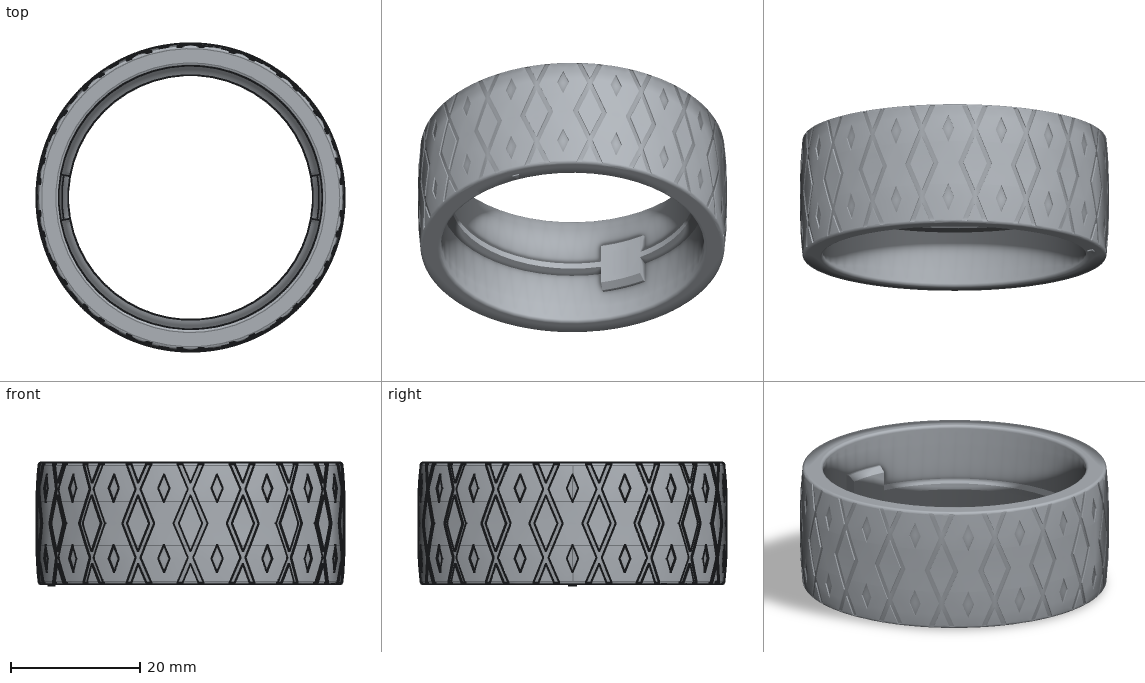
import cadquery as cq
import math

outer_radius = 23.85
body_height = 18.85
half_height = body_height / 2
edge_round = 0.5
straight_half_height = 3.4
curve_half_height = half_height - edge_round
rim_radius = 23.55
bore_radius = 20.4

rib_radius = 18.9
rib_crest_half_height = 0.5
rib_root_half_height = 0.8

key_half_angle = 10.0
key_half_height = 4.2
key_shoulder_radius = 19.9
key_crest_half_height = 3.4

pattern_count = 18
pattern_pitch = 360 / pattern_count
groove_depth = 0.25
groove_half_height = 9.15
crossing_height = 5.3
groove_slope = 0.42
groove_half_width = 0.405
diamond_height = 5.45
diamond_half_height = 2.15
diamond_half_width = groove_slope * diamond_half_height

marker_base_x = -22.0
marker_side = 1.15
marker_height = 0.2

overlap = 0.25


def revolve(profile, degrees):
    """Revolve a closed XZ profile about the Z axis, from +X towards +Y."""
    return profile.close().revolve(degrees, (0, 0, 0), (0, 1, 0))


def turn(shape, degrees):
    return shape.rotate((0, 0, 0), (0, 0, 1), degrees)


def add_barrel_side(profile, inset):
    """Draw on from the lower rim to the upper one: a straight band between two tangent arcs."""
    middle = outer_radius - inset
    rim = rim_radius - inset
    rise = curve_half_height - straight_half_height
    arc_radius = (rise**2 + (middle - rim) ** 2) / (2 * (middle - rim))
    return (
        profile
        .radiusArc((middle, -straight_half_height), -arc_radius)
        .lineTo(middle, straight_half_height)
        .radiusArc((rim, curve_half_height), -arc_radius)
    )


def half_ring():
    """Half of the plain ring, with the rib and the matching halves of both keys."""
    profile = (
        cq.Workplane("XZ")
        .moveTo(bore_radius, -curve_half_height)
        .radiusArc((bore_radius + edge_round, -half_height), -edge_round)
        .lineTo(rim_radius - edge_round, -half_height)
        .radiusArc((rim_radius, -curve_half_height), -edge_round)
    )
    profile = (
        add_barrel_side(profile, 0)
        .radiusArc((rim_radius - edge_round, half_height), -edge_round)
        .lineTo(bore_radius + edge_round, half_height)
        .radiusArc((bore_radius, curve_half_height), -edge_round)
        .lineTo(bore_radius, rib_root_half_height)
        .lineTo(rib_radius, rib_crest_half_height)
        .lineTo(rib_radius, -rib_crest_half_height)
        .lineTo(bore_radius, -rib_root_half_height)
    )
    ring = revolve(profile, 180)
    return ring.union(half_key()).union(turn(half_key(), 180 - key_half_angle))


def half_key():
    root_radius = bore_radius + overlap
    profile = cq.Workplane("XZ").polyline(
        [
            (root_radius, -key_half_height),
            (key_shoulder_radius, -key_half_height),
            (rib_radius, -key_crest_half_height),
            (rib_radius, key_crest_half_height),
            (key_shoulder_radius, key_half_height),
            (root_radius, key_half_height),
        ]
    )
    return revolve(profile, key_half_angle)


def zigzag_outline(side):
    """Groove that is widest from the pattern axis at mid height and crosses it twice."""
    crest = groove_slope * crossing_height
    end = groove_slope * (crossing_height - groove_half_height)
    return [
        (side * (end + groove_half_width), -groove_half_height),
        (side * (crest + groove_half_width), 0),
        (side * (end + groove_half_width), groove_half_height),
        (side * (end - groove_half_width), groove_half_height),
        (side * (crest - groove_half_width), 0),
        (side * (end - groove_half_width), -groove_half_height),
    ]


def diamond_outline(centre_z):
    return [
        (-diamond_half_width, centre_z),
        (0, centre_z - diamond_half_height),
        (diamond_half_width, centre_z),
        (0, centre_z + diamond_half_height),
    ]


def wall_prism(outline):
    """Extrude a flat outline along X, through the wall on the +X side."""
    return (
        cq.Workplane("YZ", origin=(bore_radius, 0, 0))
        .polyline(outline)
        .close()
        .extrude(outer_radius + overlap - bore_radius)
    )


def half_tread():
    """Cutters for half a turn of grooves, with small diamonds between them and at both ends.

    A core solid trims them, so their floors follow the barrel at the groove depth.
    """
    core_rim = rim_radius - groove_depth
    core_profile = (
        cq.Workplane("XZ")
        .moveTo(0, -half_height)
        .lineTo(core_rim, -half_height)
        .lineTo(core_rim, -curve_half_height)
    )
    core_profile = (
        add_barrel_side(core_profile, groove_depth)
        .lineTo(core_rim, half_height)
        .lineTo(0, half_height)
    )
    core = turn(revolve(core_profile, 360), 180)
    grooves = wall_prism(zigzag_outline(1)).union(wall_prism(zigzag_outline(-1))).cut(core)
    upper_diamond = wall_prism(diamond_outline(diamond_height)).cut(core)
    lower_diamond = wall_prism(diamond_outline(-diamond_height)).cut(core)

    cutters = []
    for i in range(pattern_count // 2 + 1):
        angle = i * pattern_pitch
        cutters.append(turn(upper_diamond, angle).val())
        cutters.append(turn(lower_diamond, angle).val())
    for i in range(pattern_count // 2):
        cutters.append(turn(grooves, (i + 0.5) * pattern_pitch).val())
    return cutters


def marker():
    tip_x = marker_base_x + marker_side * math.sqrt(3) / 2
    return (
        cq.Workplane("XY", origin=(0, 0, -half_height - marker_height))
        .polyline([(marker_base_x, -marker_side / 2), (tip_x, 0), (marker_base_x, marker_side / 2)])
        .close()
        .extrude(marker_height + overlap)
    )


engraved_half = cq.Workplane(half_ring().val().cut(*half_tread()))
ring = engraved_half.union(turn(engraved_half, 180), glue=True)
result = ring.union(marker())